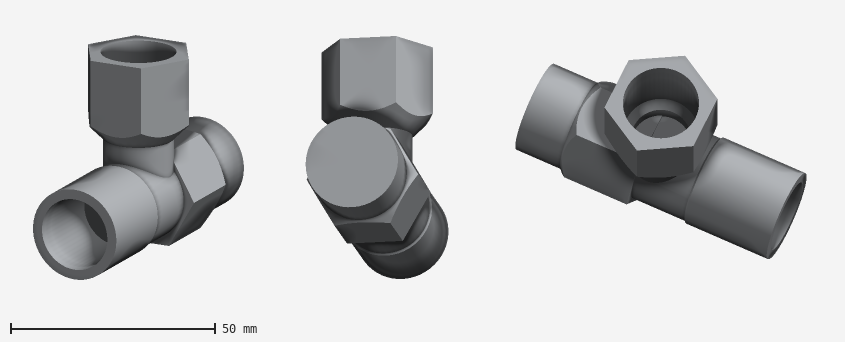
import cadquery as cq
import math

run_length = 68.0
hex_across_corners = 27.75
hex_across_flats = hex_across_corners * math.sqrt(3) / 2
overall_height = 49.5
branch_top = overall_height - hex_across_flats / 2
front_end = -run_length / 2
rear_end = run_length / 2

tube_radius = 23.0 / 2
tube_bore_radius = 18.0 / 2
tube_edge_chamfer = 0.5
tee_radius = 22.0 / 2
tee_front = -11.4

rear_hex_front = 2.8
rear_hex_back = 22.0

neck_radius = 17.5 / 2
neck_bore_radius = 14.5 / 2
socket_bore_radius = 18.6 / 2
neck_bottom = tube_radius
neck_top = 15.6


def run_cylinder(radius, start, end):
    """Solid cylinder along Y between two Y positions."""
    return cq.Workplane("XZ", origin=(0, start, 0)).circle(radius).extrude(start - end)


def branch_cylinder(radius, bottom, top):
    """Solid cylinder along Z between two heights."""
    return cq.Workplane("XY").workplane(offset=bottom).circle(radius).extrude(top - bottom)


def coned_hexagon(length, small_radius):
    """Hexagonal bar along Z whose lower end is turned to a 45 degree cone."""
    hexagon = cq.Workplane("XY").polygon(6, hex_across_corners).extrude(length)
    outer_radius = hex_across_corners / 2
    cone_height = outer_radius - small_radius
    envelope = (
        cq.Workplane("XZ")
        .moveTo(0, 0)
        .lineTo(small_radius, 0)
        .lineTo(outer_radius, cone_height)
        .lineTo(outer_radius, length)
        .lineTo(0, length)
        .close()
        .revolve(360, (0, 0, 0), (0, 1, 0))
    )
    return hexagon.intersect(envelope)


def make_rear_adapter():
    """Hexagon with its cone facing +Y, running into a round end."""
    hexagon = coned_hexagon(rear_hex_back - rear_hex_front, tube_radius)
    hexagon = hexagon.rotate((0, 0, 0), (1, 0, 0), 90).translate((0, rear_hex_back, 0))
    return hexagon.union(run_cylinder(tube_radius, rear_hex_back, rear_end))


def make_tee(adapter):
    """Round run with a branch stub fitted around the rear adapter."""
    run = run_cylinder(tee_radius, tee_front, rear_hex_front)
    stub = branch_cylinder(neck_radius, 0, neck_bottom)
    return run.union(stub).cut(adapter)


def make_front_tube():
    """Open tube with a chamfered edge against the tee."""
    tube = run_cylinder(tube_radius, front_end, tee_front).faces(">Y").chamfer(tube_edge_chamfer)
    return tube.cut(run_cylinder(tube_bore_radius, front_end, tee_front))


def make_branch_socket(adapter):
    """Hexagonal socket on a round neck, bored through in two diameters joined by a cone."""
    hexagon = coned_hexagon(branch_top - neck_top, neck_radius).translate((0, 0, neck_top))
    socket = hexagon.union(branch_cylinder(neck_radius, neck_bottom, neck_top))
    bore_cone_top = neck_top + socket_bore_radius - neck_bore_radius
    bore = (
        cq.Workplane("XZ")
        .moveTo(0, neck_bottom)
        .lineTo(neck_bore_radius, neck_bottom)
        .lineTo(neck_bore_radius, neck_top)
        .lineTo(socket_bore_radius, bore_cone_top)
        .lineTo(socket_bore_radius, branch_top)
        .lineTo(0, branch_top)
        .close()
        .revolve(360, (0, 0, 0), (0, 1, 0))
    )
    return socket.cut(bore).cut(adapter)


rear_adapter = make_rear_adapter()
tee = make_tee(rear_adapter)
front_tube = make_front_tube()
branch_socket = make_branch_socket(rear_adapter)

result = cq.Compound.makeCompound(
    [tee.val(), rear_adapter.val(), front_tube.val(), branch_socket.val()]
)